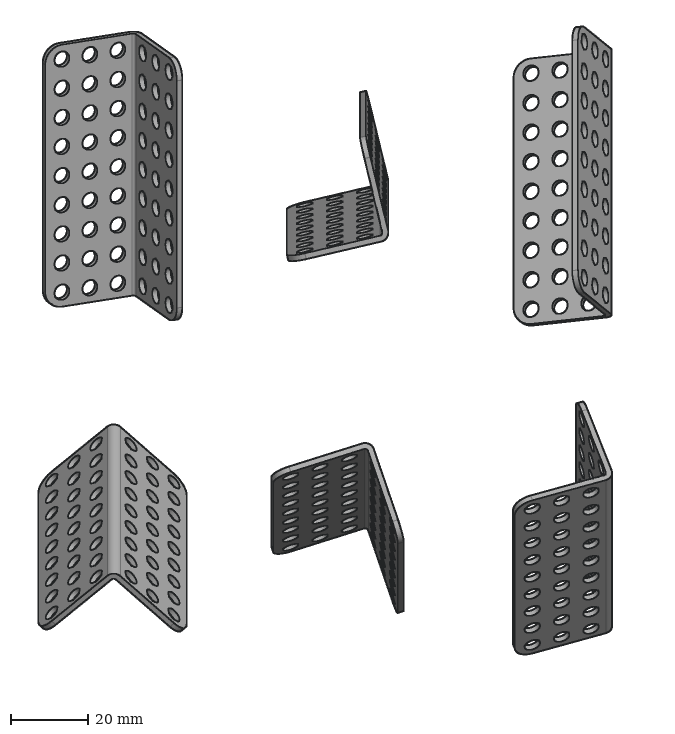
import cadquery as cq

leg_length = 27.2
height = 72.0
thickness = 1.6

bend_inner_radius = thickness / 2
bend_outer_radius = bend_inner_radius + thickness
corner_radius = 4.8

hole_diameter = 4.2
hole_pitch = 8.0
hole_columns = 3
hole_rows = 9
hole_edge_distance = 4.8


def bent_sheet():
    """L profile extruded along Z, with concentric radii at the bend."""
    body = (
        cq.Workplane("XY")
        .lineTo(leg_length, 0)
        .lineTo(leg_length, -thickness)
        .lineTo(thickness, -thickness)
        .lineTo(thickness, -leg_length)
        .lineTo(0, -leg_length)
        .close()
        .extrude(height / 2, both=True)
    )
    outer_edge = cq.NearestToPointSelector((0, 0, 0))
    body = body.edges(outer_edge).fillet(bend_outer_radius)
    inner_edge = cq.NearestToPointSelector((thickness, -thickness, 0))
    return body.edges(inner_edge).fillet(bend_inner_radius)


def round_free_corners(body):
    """Round the two free corners of each leg."""
    body = body.faces(">X").edges("|Y").fillet(corner_radius)
    return body.faces("<Y").edges("|X").fillet(corner_radius)


def hole_cutters(plane, leg_direction):
    """Cylinders through one leg, columns counted inward from its free edge."""
    first_column = leg_length - hole_edge_distance
    first_row = -hole_pitch * (hole_rows - 1) / 2
    centres = [
        (leg_direction * (first_column - column * hole_pitch), first_row + row * hole_pitch)
        for column in range(hole_columns)
        for row in range(hole_rows)
    ]
    return (
        cq.Workplane(plane)
        .pushPoints(centres)
        .circle(hole_diameter / 2)
        .extrude(2 * thickness, both=True)
    )


result = round_free_corners(bent_sheet())
result = result.cut(hole_cutters("XZ", 1))
result = result.cut(hole_cutters("YZ", -1))